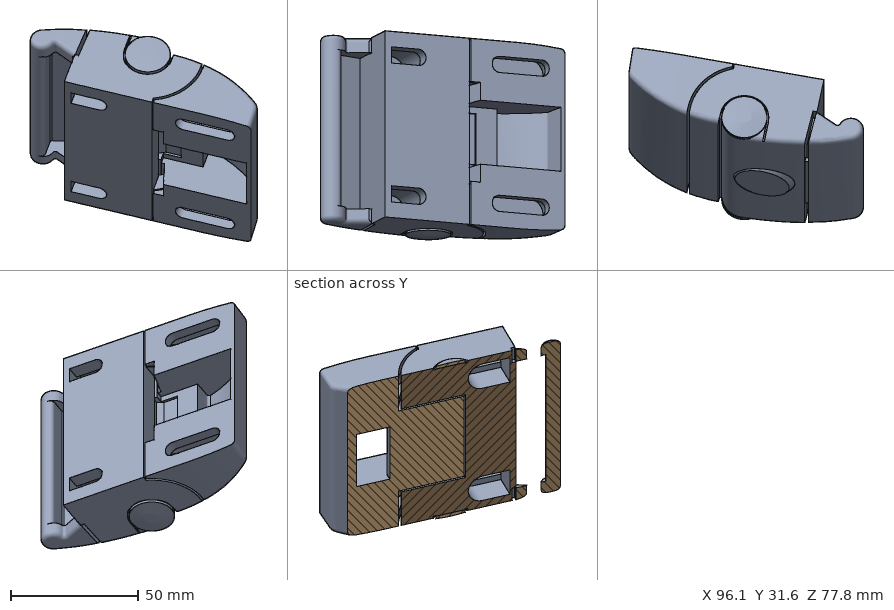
import cadquery as cq
import math

WIDTH = 74.9
HALF_WIDTH = WIDTH / 2
EDGE_RADIUS = 2.0
PIN_Y = 22.2
CLEARANCE = 0.5

SHAFT_RADIUS = 2.9
HEAD_RADIUS = 8.9
HEAD_RIM_Z = 38.0
HEAD_TOP_Z = 38.9
HEAD_FLAT_RADIUS = 3.0

HOUSING_LEFT = -27.6
HOUSING_RIGHT = 8.4
SWING_RADIUS = 21.7
NOTCH_Y = 14.2
NOTCH_X = -25.9
HOUSING_TOP_LEFT = (-25.3, 28.7)
HOUSING_TOP_MIDDLE = (-13.7, 30.3)
SEAT_RADIUS = 9.6
SEAT_DEPTH = 1.0
WING_X = 9.7
WING_STEP_Y = 24.0
BUTTON_X = -8.9
BUTTON_RADIUS = 10.85
BUTTON_TOP = 31.6
BUTTON_BASE = 28.8
BUTTON_FLARE = 0.8

SLOT_Z = 27.9
SLOT_WIDTH = 6.5
HOUSING_PLATE = 5.9
KEEPER_PLATE = 4.2
SLOT_DEPTH = 12.9
HEAD_ROOM_WIDTH = 11.9
HOUSING_SLOT = (-24.8, -10.2)
KEEPER_SLOT = (18.05, 42.3)

DOME_X = 9.6
DOME_TOP = 26.2
DOME_RADIUS = 59.5
KEEPER_LEFT = 8.9
KEEPER_ARC_RADIUS = 22.7
KEEPER_RIGHT = 49.1
KEEPER_RIGHT_TOP = 48.5
KEEPER_NOSE_RADIUS = 4.6
TAPER_START = 29.0
TAPER_RADIUS = 163.2
SHELL = 2.1
POCKET_WIDTH = 25.7
POCKET_RIGHT = 47.2
POCKET_STEP_X = 25.5
POCKET_STEP_RADIUS = 1.2
POCKET_END_X = 45.6
POCKET_CORNER = [(46.1, 11.0), (46.3, 10.4)]
RECESS_WIDTH = 20.5
RECESS_X = (10.0, 16.5)
RECESS_DEPTH = 1.0
RECESS_RAMP_START = (7.4, 12.5)

ARM_WIDTH = 40.1
KNUCKLE_RADIUS = 5.8
ARM_BOTTOM = 9.6
ARM_TOP = 18.05
ARM_LIP_X = 9.2
ARM_LIP = 0.5
ARM_HEEL_X = 10.6
ARM_TOE_X = 13.1

HANDLE_TOP_RIGHT = (-26.8, 28.3)
HANDLE_TOP_MIDDLE = (-35.4, 26.2)
HANDLE_FOOT = (-27.4, NOTCH_Y)
HANDLE_FOOT_LEFT = (-28.5, NOTCH_Y)
GRIP_X = -42.0
GRIP_Y = 18.6
GRIP_RADIUS = 5.0
GRIP_START_ANGLE = 107.0
GRIP_END_ANGLE = 342.0
THROAT_RADIUS = 1.0
THROAT_END_ANGLE = 65.0
HOLLOW_WIDTH = 62.8
LIP_RADIUS = 2.0
HOLLOW_CORNER = [(-39.9, 21.9), (-39.4, 22.5)]
HOLLOW_ROOF_Y = 26.1
TONGUE_X = (-28.8, -23.0)
TONGUE_Y = (HOLLOW_ROOF_Y, 27.8)
TONGUE_WIDTH = 38.4

BELOW = -1.0
TOLERANCE = 0.001
CROSSING_STEPS = 20


def prism(sketch, width):
    """Extrude a closed XY outline evenly to both sides of Z = 0."""
    return sketch.extrude(width / 2, both=True)


def block(x_range, y_range, width):
    """Box given by its X and Y ranges, centred on Z = 0."""
    length = x_range[1] - x_range[0]
    height = y_range[1] - y_range[0]
    middle = (sum(x_range) / 2, sum(y_range) / 2, 0)
    return cq.Workplane("XY").box(length, height, width).translate(middle)


def rod(radius, width):
    """Cylinder on the pin axis, centred on Z = 0."""
    return prism(cq.Workplane("XY").center(0, PIN_Y).circle(radius), width)


def arc_y(x, radius):
    """Height of the lower half of a circle about the pin axis."""
    return PIN_Y - math.sqrt(radius**2 - x**2)


def dome_y(x, inset=0.0):
    """Height of the domed outer surface, or of a surface a set depth inside it."""
    radius = DOME_RADIUS - inset
    return DOME_TOP - DOME_RADIUS + math.sqrt(radius**2 - (x - DOME_X) ** 2)


def dome_meets_swing(radius):
    """Point where the dome crosses a circle about the pin axis."""
    x = radius
    for _ in range(CROSSING_STEPS):
        x = math.sqrt(radius**2 - (dome_y(x) - PIN_Y) ** 2)
    return (x, dome_y(x))


def slot_void(x_range, y_range, width, z, square_left):
    """Slot-shaped void along X with a round right end and a round or square left end."""
    left, right = x_range
    radius = width / 2
    ends = [right - radius]
    start = left
    if not square_left:
        start = left + radius
        ends.append(start)
    void = block((start, right - radius), y_range, width)
    for x in ends:
        disc = cq.Workplane("XZ").center(x, 0).circle(radius).extrude(y_range[0] - y_range[1])
        void = void.union(disc.translate((0, y_range[0], 0)))
    return void.translate((0, 0, z))


def screw_slot(x_range, plate, depth, z, square_left):
    """Blind screw slot, wider behind the plate to make room for a screw head."""
    extra = (HEAD_ROOM_WIDTH - SLOT_WIDTH) / 2
    left, right = x_range
    room_left = left if square_left else left - extra
    slot = slot_void(x_range, (BELOW, depth), SLOT_WIDTH, z, square_left)
    room = slot_void((room_left, right + extra), (plate, depth), HEAD_ROOM_WIDTH, z, square_left)
    return slot.union(room)


def on_outer_end_edges(body, inside):
    """Edges of the two Z end faces whose middle point passes a test of (x, y)."""
    edges = []
    for selector in (">Z", "<Z"):
        for edge in body.faces(selector).edges().vals():
            point = edge.positionAt(0.5)
            if inside(point.x, point.y):
                edges.append(edge)
    return body.newObject(edges)


def make_pin():
    """Shaft with a shallow conical head at each end."""
    seat_z = HALF_WIDTH - SEAT_DEPTH
    half_profile = [
        (0, 0),
        (SHAFT_RADIUS, 0),
        (SHAFT_RADIUS, seat_z),
        (HEAD_RADIUS, seat_z),
        (HEAD_RADIUS, HEAD_RIM_Z),
        (HEAD_FLAT_RADIUS, HEAD_TOP_Z),
        (0, HEAD_TOP_Z),
    ]
    half = cq.Workplane("XZ").polyline(half_profile).close().revolve(360, (0, 0, 0), (0, 1, 0))
    return half.union(half.mirror("XY")).translate((0, PIN_Y, 0))


def make_button():
    """Flared round boss standing on the outer face of the housing."""
    base_radius = BUTTON_RADIUS + BUTTON_FLARE * (BUTTON_TOP - BUTTON_BASE)
    profile = [(0, BUTTON_BASE), (base_radius, BUTTON_BASE), (BUTTON_RADIUS, BUTTON_TOP), (0, BUTTON_TOP)]
    boss = cq.Workplane("XY").polyline(profile).close().revolve(360, (0, 0, 0), (0, 1, 0))
    return boss.translate((BUTTON_X, 0, 0))


def arm_bay():
    """Clearance in the housing around the knuckle arm."""
    left = -KNUCKLE_RADIUS - CLEARANCE
    right = SWING_RADIUS + CLEARANCE
    top = ARM_TOP + CLEARANCE
    width = ARM_WIDTH + 2 * CLEARANCE
    channel = block((left, right), (ARM_BOTTOM - CLEARANCE, top), width)
    mouth = block((HOUSING_RIGHT, right), (BELOW, top), width)
    shoulder = block((left, -left), (ARM_BOTTOM, PIN_Y), width)
    return channel.union(mouth).union(shoulder).union(rod(KNUCKLE_RADIUS + CLEARANCE, width))


def head_seats():
    """U-shaped recess around each pin head, which leaves the housing's corner beside the head."""
    slot = block((-SEAT_RADIUS, SEAT_RADIUS), (PIN_Y, BUTTON_TOP), WIDTH)
    corner = block((-HEAD_RADIUS, 0), (PIN_Y, BUTTON_TOP), WIDTH).cut(rod(HEAD_RADIUS, WIDTH))
    seat = slot.union(rod(SEAT_RADIUS, WIDTH)).cut(corner)
    return seat.cut(block((-SEAT_RADIUS, SEAT_RADIUS), (0, BUTTON_TOP), WIDTH - 2 * SEAT_DEPTH))


def under_housing_top():
    """Space below a surface that runs parallel to the housing's outer face, one wall inside it."""
    left_x, left_y = HOUSING_TOP_LEFT
    middle_x, middle_y = HOUSING_TOP_MIDDLE
    outline = (
        cq.Workplane("XY")
        .moveTo(left_x, BELOW)
        .lineTo(left_x, left_y - SHELL)
        .threePointArc((middle_x, middle_y - SHELL), (0, PIN_Y + HEAD_RADIUS - SHELL))
        .lineTo(0, BELOW)
        .close()
    )
    return prism(outline, WIDTH)


def make_housing(handle):
    crown_y = PIN_Y + HEAD_RADIUS
    crown_end_x = math.sqrt(HEAD_RADIUS**2 - (WING_STEP_Y - PIN_Y) ** 2)
    crown_diagonal = HEAD_RADIUS * math.sqrt(0.5)
    wing_tip = dome_meets_swing(SWING_RADIUS)
    wing_middle_x = (WING_X + wing_tip[0]) / 2
    swing_diagonal = SWING_RADIUS * math.sqrt(0.5)
    outline = (
        cq.Workplane("XY")
        .moveTo(HOUSING_LEFT, 0)
        .lineTo(HOUSING_LEFT, NOTCH_Y)
        .lineTo(NOTCH_X, NOTCH_Y)
        .lineTo(*HOUSING_TOP_LEFT)
        .threePointArc(HOUSING_TOP_MIDDLE, (0, crown_y))
        .threePointArc((crown_diagonal, PIN_Y + crown_diagonal), (crown_end_x, WING_STEP_Y))
        .lineTo(WING_X, WING_STEP_Y)
        .lineTo(WING_X, dome_y(WING_X))
        .threePointArc((wing_middle_x, dome_y(wing_middle_x)), wing_tip)
        .threePointArc(
            (swing_diagonal, PIN_Y - swing_diagonal),
            (HOUSING_RIGHT, arc_y(HOUSING_RIGHT, SWING_RADIUS)),
        )
        .lineTo(HOUSING_RIGHT, 0)
        .close()
    )
    body = prism(outline, WIDTH)
    outer = on_outer_end_edges(
        body, lambda x, y: (x < 0 and y > HOUSING_TOP_LEFT[1]) or (x > WING_X and y > WING_STEP_Y)
    )
    body = outer.fillet(EDGE_RADIUS)
    body = body.union(make_button())
    handle_pad = block((HOUSING_LEFT, NOTCH_X), (NOTCH_Y, HOLLOW_ROOF_Y), HOLLOW_WIDTH)
    body = body.union(handle_pad)
    for void in (head_seats(), arm_bay(), rod(SHAFT_RADIUS, WIDTH), handle):
        body = body.cut(void)
    for z in (-SLOT_Z, SLOT_Z):
        slot = screw_slot(HOUSING_SLOT, HOUSING_PLATE, BUTTON_TOP, z, True)
        body = body.cut(slot.intersect(under_housing_top()))
    return body


def keeper_shell():
    """Domed block with a concave swing face, tapered and rounded at its free end."""
    top_left = dome_meets_swing(KEEPER_ARC_RADIUS)
    top_middle_x = (top_left[0] + KEEPER_RIGHT_TOP) / 2
    top_right = (KEEPER_RIGHT_TOP, dome_y(KEEPER_RIGHT_TOP))
    swing_diagonal = KEEPER_ARC_RADIUS * math.sqrt(0.5)
    outline = (
        cq.Workplane("XY")
        .moveTo(KEEPER_LEFT, 0)
        .lineTo(KEEPER_LEFT, arc_y(KEEPER_LEFT, KEEPER_ARC_RADIUS))
        .threePointArc((swing_diagonal, PIN_Y - swing_diagonal), top_left)
        .threePointArc((top_middle_x, dome_y(top_middle_x)), top_right)
        .lineTo(KEEPER_RIGHT, 0)
        .close()
    )
    body = prism(outline, WIDTH)

    def taper_z(x):
        return HALF_WIDTH - TAPER_RADIUS + math.sqrt(TAPER_RADIUS**2 - (x - TAPER_START) ** 2)

    end_x = KEEPER_RIGHT
    middle_x = (TAPER_START + end_x) / 2
    plan = (
        cq.Workplane("XZ")
        .moveTo(0, -HALF_WIDTH)
        .lineTo(TAPER_START, -HALF_WIDTH)
        .threePointArc((middle_x, -taper_z(middle_x)), (end_x, -taper_z(end_x)))
        .lineTo(end_x, taper_z(end_x))
        .threePointArc((middle_x, taper_z(middle_x)), (TAPER_START, HALF_WIDTH))
        .lineTo(0, HALF_WIDTH)
        .close()
        .extrude(-DOME_TOP)
    )
    body = body.intersect(plan)
    nose = cq.selectors.NearestToPointSelector((*top_right, 0))
    body = body.edges(nose).fillet(KEEPER_NOSE_RADIUS)
    rim = []
    for edge in body.edges().vals():
        point = edge.positionAt(0.5)
        at_side = abs(point.z) > HALF_WIDTH - EDGE_RADIUS
        on_dome = point.x > top_left[0] and abs(point.y - dome_y(point.x)) < TOLERANCE
        on_end = point.x > KEEPER_RIGHT - KEEPER_NOSE_RADIUS and point.y > TOLERANCE
        if at_side and (on_dome or on_end):
            rim.append(edge)
    return body.newObject(rim).fillet(EDGE_RADIUS)


def knuckle_arm():
    """Arm from the keeper to the pin, with a sloped heel at the mounting plane."""
    root_x = KEEPER_ARC_RADIUS + CLEARANCE
    step_y = ARM_BOTTOM + ARM_LIP
    points = [
        (-KNUCKLE_RADIUS, ARM_BOTTOM),
        (ARM_LIP_X, ARM_BOTTOM),
        (ARM_LIP_X, step_y),
        (ARM_HEEL_X, step_y),
        (ARM_TOE_X, 0),
        (root_x, 0),
        (root_x, ARM_TOP),
        (KNUCKLE_RADIUS, ARM_TOP),
        (KNUCKLE_RADIUS, PIN_Y),
        (-KNUCKLE_RADIUS, PIN_Y),
    ]
    arm = prism(cq.Workplane("XY").polyline(points).close(), ARM_WIDTH)
    return arm.union(rod(KNUCKLE_RADIUS, ARM_WIDTH))


def keeper_pocket():
    """Central pocket: a shallow floor next to the arm and a deep bay that follows the dome."""
    roof_x = POCKET_STEP_X + POCKET_STEP_RADIUS
    roof_y = dome_y(roof_x, SHELL)
    round_inset = POCKET_STEP_RADIUS * (1 - math.sqrt(0.5))
    middle_x = (roof_x + POCKET_END_X) / 2
    outline = (
        cq.Workplane("XY")
        .moveTo(ARM_LIP_X, BELOW)
        .lineTo(ARM_LIP_X, SLOT_DEPTH)
        .lineTo(POCKET_STEP_X, SLOT_DEPTH)
        .lineTo(POCKET_STEP_X, roof_y - POCKET_STEP_RADIUS)
        .threePointArc((POCKET_STEP_X + round_inset, roof_y - round_inset), (roof_x, roof_y))
        .threePointArc(
            (middle_x, dome_y(middle_x, SHELL)), (POCKET_END_X, dome_y(POCKET_END_X, SHELL))
        )
        .threePointArc(*POCKET_CORNER)
        .lineTo(POCKET_RIGHT, 0)
        .lineTo(POCKET_RIGHT, BELOW)
        .close()
    )
    return prism(outline, POCKET_WIDTH)


def floor_recess():
    """Shallow recess in the pocket floor whose left side ramps out through the arm's lip."""
    left, right = RECESS_X
    roof = SLOT_DEPTH + RECESS_DEPTH
    ramp_x = RECESS_RAMP_START[0]
    points = [(ramp_x, ARM_BOTTOM), RECESS_RAMP_START, (left, roof), (right, roof), (right, ARM_BOTTOM)]
    return prism(cq.Workplane("XY").polyline(points).close(), RECESS_WIDTH)


def make_keeper():
    body = keeper_shell()
    body = body.cut(block((KEEPER_LEFT, ARM_TOE_X), (BELOW, ARM_BOTTOM), ARM_WIDTH))
    body = body.union(knuckle_arm())
    for void in (keeper_pocket(), floor_recess(), rod(SHAFT_RADIUS, WIDTH)):
        body = body.cut(void)
    for z in (-SLOT_Z, SLOT_Z):
        body = body.cut(screw_slot(KEEPER_SLOT, KEEPER_PLATE, SLOT_DEPTH, z, False))
    return body


def polar(center, radius, angle):
    """Point on a circle at an angle in degrees."""
    turn = math.radians(angle)
    return (center[0] + radius * math.cos(turn), center[1] + radius * math.sin(turn))


def handle_hollow():
    """Hollow under the handle, bounded by the grip's rounded lip and a sloping roof."""
    grip_bottom = GRIP_Y - GRIP_RADIUS
    lip_center = (GRIP_X, grip_bottom + LIP_RADIUS)
    outline = (
        cq.Workplane("XY")
        .moveTo(GRIP_X, grip_bottom)
        .threePointArc(polar(lip_center, LIP_RADIUS, -45), polar(lip_center, LIP_RADIUS, 0))
        .lineTo(*HOLLOW_CORNER[0])
        .lineTo(*HOLLOW_CORNER[1])
        .lineTo(NOTCH_X, HOLLOW_ROOF_Y)
        .lineTo(NOTCH_X, grip_bottom)
        .close()
    )
    return prism(outline, HOLLOW_WIDTH)


def make_handle():
    """Hooked finger grip, hollow underneath, with a tongue that fits into the housing."""
    grip = (GRIP_X, GRIP_Y)
    throat = polar(grip, GRIP_RADIUS + THROAT_RADIUS, GRIP_END_ANGLE)
    throat_start_angle = GRIP_END_ANGLE - 180
    throat_middle_angle = (throat_start_angle + THROAT_END_ANGLE) / 2
    tip_angle = 180

    def grip_point(angle):
        return polar(grip, GRIP_RADIUS, angle)

    outline = (
        cq.Workplane("XY")
        .moveTo(*HANDLE_FOOT)
        .lineTo(*HANDLE_TOP_RIGHT)
        .threePointArc(HANDLE_TOP_MIDDLE, grip_point(GRIP_START_ANGLE))
        .threePointArc(grip_point((GRIP_START_ANGLE + tip_angle) / 2), grip_point(tip_angle))
        .threePointArc(grip_point((tip_angle + GRIP_END_ANGLE) / 2), grip_point(GRIP_END_ANGLE))
        .threePointArc(
            polar(throat, THROAT_RADIUS, throat_middle_angle),
            polar(throat, THROAT_RADIUS, THROAT_END_ANGLE),
        )
        .lineTo(*HANDLE_FOOT_LEFT)
        .close()
    )
    body = prism(outline, WIDTH)
    body = on_outer_end_edges(body, lambda x, y: x < HANDLE_FOOT_LEFT[0]).fillet(EDGE_RADIUS)
    body = body.cut(handle_hollow())
    return body.union(block(TONGUE_X, TONGUE_Y, TONGUE_WIDTH))


pin = make_pin()
handle = make_handle()
housing = make_housing(handle)
keeper = make_keeper()

bodies = [pin, handle, housing, keeper]
result = cq.Compound.makeCompound([body.solids().val() for body in bodies])